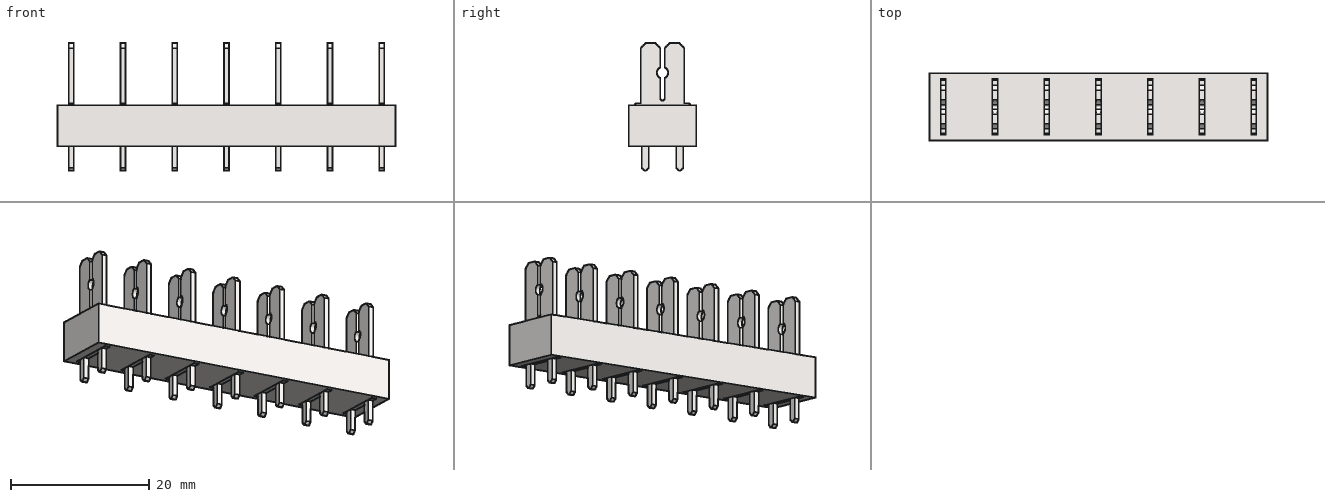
import cadquery as cq

HOUSING_LENGTH = 49.0
HOUSING_WIDTH = 9.8
HOUSING_HEIGHT = 6.0

CONTACT_COUNT = 7
CONTACT_PITCH = 7.5
CONTACT_THICKNESS = 0.8

BASE_WIDTH = 8.1
BASE_RISE = 0.3
BASE_CHAMFER = 0.2
BASE_TOP = HOUSING_HEIGHT + BASE_RISE

BLADE_WIDTH = 6.3
BLADE_HEIGHT = 9.0
BLADE_CHAMFER = 0.75
BLADE_TOP = HOUSING_HEIGHT + BLADE_HEIGHT
SLOT_WIDTH = 0.65
SLOT_RADIUS = SLOT_WIDTH / 2
SLOT_FLOOR_RISE = 0.7
SLOT_FLOOR = HOUSING_HEIGHT + SLOT_FLOOR_RISE
EYE_DIAMETER = 1.6
EYE_DROP = 4.3

PIN_LENGTH = 3.55
PIN_WIDTH = 1.1
PIN_SPACING = 5.0
PIN_CHAMFER = 0.45


def plate(width, bottom, top):
    """Flat plate of contact thickness, centred on X = 0 and Y = 0."""
    height = top - bottom
    centre = (0, 0, (bottom + top) / 2)
    return cq.Workplane("XY").box(CONTACT_THICKNESS, width, height).translate(centre)


def disc(radius, height):
    """Disc of contact thickness with its axis along X, centred at the given height."""
    start = cq.Workplane("YZ", origin=(-CONTACT_THICKNESS / 2, 0, height))
    return start.circle(radius).extrude(CONTACT_THICKNESS)


def make_blade():
    """Blade split by a round-floored slot, with chamfered top corners on both prongs."""
    floor_centre = SLOT_FLOOR + SLOT_RADIUS
    blade = (
        plate(BLADE_WIDTH, BASE_TOP, BLADE_TOP)
        .cut(plate(SLOT_WIDTH, floor_centre, BLADE_TOP))
        .cut(disc(SLOT_RADIUS, floor_centre))
        .cut(disc(EYE_DIAMETER / 2, BLADE_TOP - EYE_DROP))
    )
    return blade.faces(">Z").edges("|X").chamfer(BLADE_CHAMFER)


def make_base():
    """Wide plate that fills the housing slot, with its exposed top corners chamfered."""
    base = plate(BASE_WIDTH, 0, BASE_TOP)
    return base.faces(">Z").edges("|X").chamfer(BASE_CHAMFER)


def make_pin(side):
    """Solder tail with a chamfered tip, on the given side of the contact."""
    pin = plate(PIN_WIDTH, -PIN_LENGTH, 0).faces("<Z").edges("|X").chamfer(PIN_CHAMFER)
    return pin.translate((0, side * PIN_SPACING / 2, 0))


def make_contact(x):
    """Complete one-piece contact standing at the given X position."""
    contact = make_base().union(make_blade())
    for side in (-1, 1):
        contact = contact.union(make_pin(side))
    return contact.clean().translate((x, 0, 0))


def make_housing(positions):
    """Plain block with one through slot for each contact base."""
    block_centering = (True, True, False)
    housing = cq.Workplane("XY").box(
        HOUSING_LENGTH, HOUSING_WIDTH, HOUSING_HEIGHT, centered=block_centering
    )
    for x in positions:
        base_slot = plate(BASE_WIDTH, 0, HOUSING_HEIGHT)
        housing = housing.cut(base_slot.translate((x, 0, 0)))
    return housing


row_middle = (CONTACT_COUNT - 1) / 2
contact_positions = [(index - row_middle) * CONTACT_PITCH for index in range(CONTACT_COUNT)]

housing = make_housing(contact_positions)
contacts = [make_contact(x) for x in contact_positions]

result = cq.Compound.makeCompound([housing.val(), *[contact.val() for contact in contacts]])